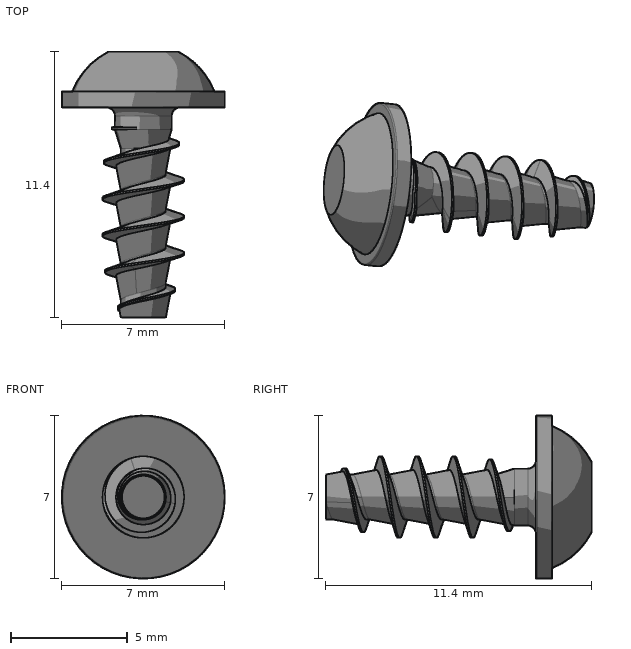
import cadquery as cq
import math


flange_radius = 3.5
flange_thickness = 0.7
flange_edge_radius = 0.05
head_height = 2.4
dome_base_radius = 3.05
dome_top_radius = 1.5

neck_radius = 1.225
neck_fillet = 0.35
neck_end = -0.93
neck_taper_end = -1.75

core_radius = 0.97
tip_y = -9.0
tip_chamfer_width = 0.06
tip_chamfer_height = 0.02
tip_overrun = 0.5
trim_depth = 3.0

pitch = 1.57
turn_zero_y = -0.763
crest_radius = 1.75
crest_half_width = 0.04
flank_slope = 0.29
first_turn = -0.25
last_turn = 5.5
lip_end_turn = 0.08
lip_start_radius = 1.2
run_in_start_radius = 1.385
run_in_growth = 0.31
run_out_start_turn = 3.8
run_out_shrink = 0.54
points_per_turn = 16

ramp_start_radius = 0.94
ramp_top_radius = 1.205
ramp_drop = 0.25
ramp_length = 1.3
ramp_slope = ramp_drop / ramp_length
ramp_run_in_turns = 0.5
min_thread_height = 0.01
band_depth = 0.3

ramp_full_turn = first_turn + ramp_run_in_turns
crest_full_turn = (crest_radius - run_in_start_radius) / run_in_growth
tip_cone_fall = ramp_slope * pitch
tip_cone_length = (ramp_top_radius - core_radius) / ramp_slope
tip_cone_turn = (turn_zero_y - tip_y - tip_cone_length) / pitch
tip_cone_crest = crest_radius - run_out_shrink * (tip_cone_turn - run_out_start_turn)
tip_cone_height = tip_cone_crest - ramp_top_radius - min_thread_height
thread_vanish_turn = tip_cone_turn + tip_cone_height / (run_out_shrink - tip_cone_fall)


def make_body():
    """Head, neck and plain core, revolved about Y; the dome is part of a sphere centred on the axis."""
    sphere_y = (
        dome_top_radius**2 + head_height**2 - dome_base_radius**2 - flange_thickness**2
    ) / (2 * (head_height - flange_thickness))
    sphere_radius = math.hypot(dome_top_radius, head_height - sphere_y)
    dome_mid_y = (head_height + flange_thickness) / 2
    dome_mid_radius = math.sqrt(sphere_radius**2 - (dome_mid_y - sphere_y) ** 2)

    arc_mid_share = 1 - math.sqrt(0.5)
    fillet_offset = neck_fillet * arc_mid_share
    edge_offset = flange_edge_radius * arc_mid_share

    return (
        cq.Workplane("XY")
        .moveTo(0, tip_y - tip_overrun)
        .lineTo(core_radius, tip_y - tip_overrun)
        .lineTo(core_radius, neck_taper_end)
        .lineTo(neck_radius, neck_end)
        .lineTo(neck_radius, -neck_fillet)
        .threePointArc(
            (neck_radius + fillet_offset, -fillet_offset),
            (neck_radius + neck_fillet, 0),
        )
        .lineTo(flange_radius - flange_edge_radius, 0)
        .threePointArc(
            (flange_radius - edge_offset, edge_offset),
            (flange_radius, flange_edge_radius),
        )
        .lineTo(flange_radius, flange_thickness - flange_edge_radius)
        .threePointArc(
            (flange_radius - edge_offset, flange_thickness - edge_offset),
            (flange_radius - flange_edge_radius, flange_thickness),
        )
        .lineTo(dome_base_radius, flange_thickness)
        .threePointArc((dome_mid_radius, dome_mid_y), (dome_top_radius, head_height))
        .lineTo(0, head_height)
        .close()
        .revolve(360, (0, 0, 0), (0, 1, 0))
    )


def helix_y(turn):
    """Height of a steady helix at the given turn."""
    return turn_zero_y - pitch * turn


def crest_y(turn):
    """Height of the crest: a level lip at the start, then the steady helix."""
    return helix_y(max(turn, lip_end_turn))


def crest_radius_at(turn):
    """Crest radius, growing below the neck and shrinking towards the tip."""
    run_in = run_in_start_radius + run_in_growth * turn
    if turn < lip_end_turn:
        lip_end_radius = run_in_start_radius + run_in_growth * lip_end_turn
        lip_share = (turn - first_turn) / (lip_end_turn - first_turn)
        run_in = lip_start_radius + (lip_end_radius - lip_start_radius) * lip_share
    run_out = crest_radius - run_out_shrink * (turn - run_out_start_turn)
    return min(run_in, crest_radius, run_out)


def ramp_top_at(turn):
    """Raised core radius beside the thread, rising below the neck and falling at the tip."""
    run_in_share = (turn - first_turn) / ramp_run_in_turns
    run_in = ramp_start_radius + (ramp_top_radius - ramp_start_radius) * run_in_share
    run_out = core_radius + ramp_slope * (helix_y(turn) - tip_y)
    return min(run_in, ramp_top_radius, run_out)


def band_corners(turn):
    """Section of the thread with the raised core behind it, as (radius, Y) corners."""
    y = crest_y(turn)
    ramp_end_y = helix_y(turn) - ramp_length
    ramp_top = ramp_top_at(turn)
    root = ramp_top - band_depth
    crest = max(crest_radius_at(turn), ramp_top + min_thread_height)
    head_side_y = y + crest_half_width + flank_slope * (crest - root)
    tip_side_y = y - crest_half_width - flank_slope * (crest - ramp_top)
    ramp_fall = ramp_slope * (y - tip_side_y)
    return [
        (root, head_side_y),
        (crest, y + crest_half_width),
        (crest, y - crest_half_width),
        (ramp_top - ramp_fall, tip_side_y),
        (ramp_top - ramp_drop, ramp_end_y),
        (root, ramp_end_y),
    ]


def section_points(turn):
    """Corners of the thread section placed in space at the given turn."""
    angle = 2 * math.pi * turn
    return [
        cq.Vector(-radius * math.cos(angle), y, -radius * math.sin(angle))
        for radius, y in band_corners(turn)
    ]


def make_helical_band():
    """Thread solid: ruled faces along the helix, split where its growth changes, and two end caps."""
    stops = [
        first_turn,
        lip_end_turn,
        ramp_full_turn,
        crest_full_turn,
        run_out_start_turn,
        tip_cone_turn,
        thread_vanish_turn,
        last_turn,
    ]
    faces = []
    for start, end in zip(stops, stops[1:]):
        steps = math.ceil((end - start) * points_per_turn)
        turn_step = (end - start) / steps
        sections = [section_points(start + turn_step * step) for step in range(steps + 1)]
        edges = [cq.Edge.makeSpline(list(path)) for path in zip(*sections)]
        for index, edge in enumerate(edges):
            faces.append(cq.Face.makeRuledSurface(edges[index - 1], edge))
    for turn in (first_turn, last_turn):
        faces.append(cq.Face.makeFromWires(cq.Wire.makePolygon(section_points(turn), close=True)))
    return cq.Workplane(cq.Solid.makeSolid(cq.Shell.makeShell(faces)).fix())


def make_tip_cutter():
    """Cutter that trims core and thread at the tip face, with the tip chamfer carried outwards."""
    face_radius = core_radius - tip_chamfer_width
    cone_height = (flange_radius - face_radius) * tip_chamfer_height / tip_chamfer_width
    return (
        cq.Workplane("XY")
        .moveTo(0, tip_y)
        .lineTo(face_radius, tip_y)
        .lineTo(flange_radius, tip_y + cone_height)
        .lineTo(flange_radius, tip_y - trim_depth)
        .lineTo(0, tip_y - trim_depth)
        .close()
        .revolve(360, (0, 0, 0), (0, 1, 0))
    )


body = make_body()
thread = make_helical_band()
result = body.union(thread).cut(make_tip_cutter())